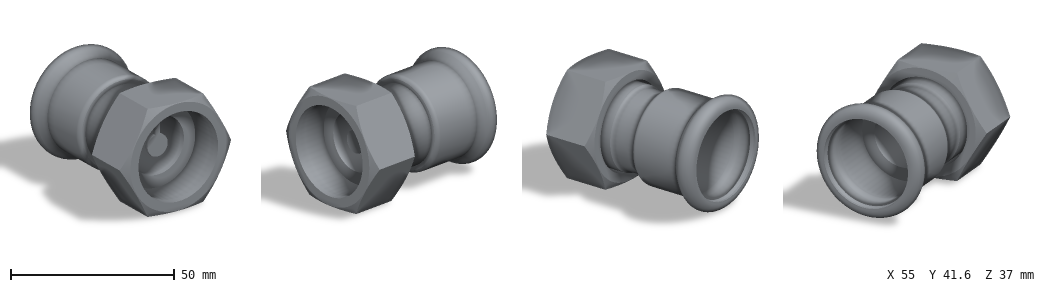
import cadquery as cq
import math

TOTAL_LENGTH = 55.0

BEAD_DIAMETER = 37.0
BEAD_ROUND = 3.1
BEAD_ARC_END = 5.0
BEAD_CONE_END = 7.5

TUBE_DIAMETER = 31.3
SHOULDER_START = 22.95
SHOULDER_END = 24.5
SHOULDER_EDGE_DIAMETER = 29.25
NECK_DIAMETER = 26.5
NECK_END = 32.45
COLLAR_START = 34.0
COLLAR_DIAMETER = 28.0
COLLAR_END = 44.0

MOUTH_DIAMETER = 29.5
MOUTH_END = 0.75
LIP_DIAMETER = 28.8
LIP_START = 1.7
LIP_END = 1.8
GROOVE_DIAMETER = 32.9
SOCKET_LEAD_IN_ROUND = 3.2
SOCKET_START = 8.1
SOCKET_DIAMETER = 28.2
SOCKET_END = SHOULDER_START
BORE_DIAMETER = 19.6

DISC_DIAMETER = 7.5
ARM_WIDTH = 1.75
DISC_THICKNESS = 1.1
DISC_START = COLLAR_END - DISC_THICKNESS
ARM_ROOT = 0.55

NUT_START = 37.05
NUT_LENGTH = TOTAL_LENGTH - NUT_START
NUT_ACROSS_CORNERS = 41.6
NUT_FACE_DIAMETER = 35.65
NUT_BORE_DIAMETER = 29.7
NUT_CHAMFER_DEPTH = 1.55


def arc_middle(start, end, center):
    """Point halfway along the short arc from start to end about center."""
    radius = math.dist(start, center)
    across = (start[0] + end[0] - 2 * center[0], start[1] + end[1] - 2 * center[1])
    size = math.hypot(*across)
    return (center[0] + radius * across[0] / size, center[1] + radius * across[1] / size)


def tangent_radius(run, rise):
    """Radius of an arc leaving an axial line, with the given run and rise."""
    return (run**2 + rise**2) / (2 * rise)


def revolve_about_x(profile):
    return profile.close().revolve(360, (0, 0, 0), (1, 0, 0))


def make_fitting_outside():
    bead_center = (BEAD_ROUND, BEAD_DIAMETER / 2 - BEAD_ROUND)
    bead_start = (0, bead_center[1])
    bead_rise = math.sqrt(BEAD_ROUND**2 - (BEAD_ARC_END - BEAD_ROUND) ** 2)
    bead_end = (BEAD_ARC_END, bead_center[1] + bead_rise)

    tube_end = (SHOULDER_START, TUBE_DIAMETER / 2)
    shoulder_edge = (SHOULDER_END, SHOULDER_EDGE_DIAMETER / 2)
    shoulder_round = tangent_radius(
        SHOULDER_END - SHOULDER_START, (TUBE_DIAMETER - SHOULDER_EDGE_DIAMETER) / 2
    )
    shoulder_center = (SHOULDER_START, tube_end[1] - shoulder_round)

    neck_end = (NECK_END, NECK_DIAMETER / 2)
    collar_edge = (COLLAR_START, COLLAR_DIAMETER / 2)
    flare_round = tangent_radius(COLLAR_START - NECK_END, (COLLAR_DIAMETER - NECK_DIAMETER) / 2)
    flare_center = (NECK_END, neck_end[1] + flare_round)

    profile = (
        cq.Workplane("XY")
        .lineTo(*bead_start)
        .threePointArc(arc_middle(bead_start, bead_end, bead_center), bead_end)
        .lineTo(BEAD_CONE_END, TUBE_DIAMETER / 2)
        .lineTo(*tube_end)
        .threePointArc(arc_middle(tube_end, shoulder_edge, shoulder_center), shoulder_edge)
        .lineTo(SHOULDER_END, NECK_DIAMETER / 2)
        .lineTo(*neck_end)
        .threePointArc(arc_middle(neck_end, collar_edge, flare_center), collar_edge)
        .lineTo(COLLAR_END, COLLAR_DIAMETER / 2)
        .lineTo(COLLAR_END, 0)
    )
    return revolve_about_x(profile)


def make_fitting_cavity():
    cone_angle = math.asin((BEAD_ARC_END - BEAD_ROUND) / BEAD_ROUND)
    lead_in_center = (SOCKET_START, SOCKET_DIAMETER / 2 + SOCKET_LEAD_IN_ROUND)
    lead_in_start = (
        lead_in_center[0] - SOCKET_LEAD_IN_ROUND * math.sin(cone_angle),
        lead_in_center[1] - SOCKET_LEAD_IN_ROUND * math.cos(cone_angle),
    )
    groove_depth = GROOVE_DIAMETER / 2 - lead_in_start[1]
    groove_end = lead_in_start[0] - groove_depth / math.tan(cone_angle)
    socket_start = (SOCKET_START, SOCKET_DIAMETER / 2)
    profile = (
        cq.Workplane("XY")
        .lineTo(0, MOUTH_DIAMETER / 2)
        .lineTo(MOUTH_END, MOUTH_DIAMETER / 2)
        .lineTo(LIP_START, LIP_DIAMETER / 2)
        .lineTo(LIP_END, LIP_DIAMETER / 2)
        .lineTo(LIP_END, GROOVE_DIAMETER / 2)
        .lineTo(groove_end, GROOVE_DIAMETER / 2)
        .lineTo(*lead_in_start)
        .threePointArc(arc_middle(lead_in_start, socket_start, lead_in_center), socket_start)
        .lineTo(SOCKET_END, SOCKET_DIAMETER / 2)
        .lineTo(SOCKET_END, BORE_DIAMETER / 2)
        .lineTo(COLLAR_END, BORE_DIAMETER / 2)
        .lineTo(COLLAR_END, 0)
    )
    return revolve_about_x(profile)


def make_disc_and_arm():
    plane = cq.Workplane("YZ", origin=(DISC_START, 0, 0))
    arm_length = BORE_DIAMETER / 2 + ARM_ROOT
    arm = plane.center(0, arm_length / 2).rect(ARM_WIDTH, arm_length).extrude(DISC_THICKNESS)
    disc = cq.Workplane("YZ", origin=(DISC_START, 0, 0)).circle(DISC_DIAMETER / 2)
    return disc.extrude(DISC_THICKNESS).union(arm)


def make_fitting():
    return make_fitting_outside().cut(make_fitting_cavity()).union(make_disc_and_arm())


def make_nut():
    hexagon = (
        cq.Workplane("YZ", origin=(NUT_START, 0, 0))
        .polygon(6, NUT_ACROSS_CORNERS)
        .extrude(NUT_LENGTH)
    )
    corner_radius = NUT_ACROSS_CORNERS / 2
    face_radius = NUT_FACE_DIAMETER / 2
    chamfered_blank = revolve_about_x(
        cq.Workplane("XY")
        .moveTo(NUT_START, 0)
        .lineTo(NUT_START, face_radius)
        .lineTo(NUT_START + NUT_CHAMFER_DEPTH, corner_radius)
        .lineTo(TOTAL_LENGTH - NUT_CHAMFER_DEPTH, corner_radius)
        .lineTo(TOTAL_LENGTH, face_radius)
        .lineTo(TOTAL_LENGTH, 0)
    )
    bore = (
        cq.Workplane("YZ", origin=(NUT_START, 0, 0))
        .circle(NUT_BORE_DIAMETER / 2)
        .extrude(NUT_LENGTH)
    )
    return hexagon.intersect(chamfered_blank).cut(bore)


fitting = make_fitting()
nut = make_nut()

result = cq.Compound.makeCompound([fitting.solids().val(), nut.solids().val()])